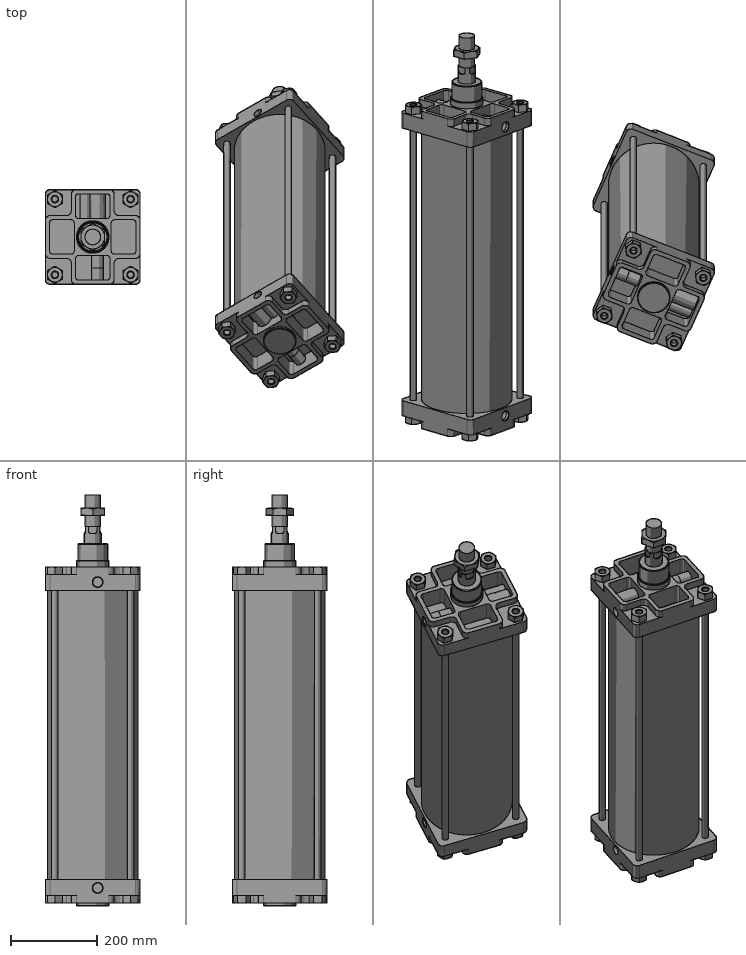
import cadquery as cq
import math

total_height = 953.0
boss_height = 7.0
cover_height = 55.0
top_cover_top = 786.0
corner_recess_depth = 18.0
bottom_cover_bottom = boss_height
bottom_cover_top = bottom_cover_bottom + cover_height
top_cover_bottom = top_cover_top - cover_height

quarter_turns = (0, 90, 180, 270)
hexagon_half_sector = 30
nut_chamfer_angle = 30

cover_side = 220.0
cover_half = cover_side / 2
cover_corner_radius = 11.0
rib_half_width = 50.0
pocket_half_width = 40.0
pocket_inner = 43.0
pocket_outer = 100.0
pocket_depth = 50.0
pocket_corner_radius = 8.0

port_x = 11.0
port_drop = 35.0
port_diameter = 23.0
port_mouth_diameter = 25.0
port_depth = 38.0
front_boss_diameter = 28.0
rear_boss_diameter = 36.0
cushion_boss_diameter = 28.0
cushion_boss_x = -16.0
cushion_boss_drop = 41.0
cushion_bore_diameter = 21.0
cushion_bore_depth = 15.0

barrel_diameter = 211.0
tie_rod_diameter = 15.0
tie_rod_offset = 88.0
tie_rod_places = [(sx * tie_rod_offset, sy * tie_rod_offset) for sx in (-1, 1) for sy in (-1, 1)]
tie_nut_flats = 34.0
tie_nut_bore = 14.0
tie_nut_mouth = 17.0

guide_diameter = 75.0
guide_top = 801.0
guide_chamfer = 1.4
collar_diameter = 70.0
collar_top = 841.0
collar_chamfer = 2.0

rod_diameter = 40.0
thread_diameter = 36.0
rod_shoulder = 880.0
wrench_flats = 34.0
wrench_flat_bottom = 863.0
wrench_flat_end_radius = 8.0

rod_nut_flats = 55.0
rod_nut_bottom = 905.0
rod_nut_height = 17.0


def disc(diameter, bottom, top):
    """Vertical cylinder on the main axis."""
    return cq.Workplane("XY").workplane(offset=bottom).circle(diameter / 2).extrude(top - bottom)


def hexagon_prism(across_flats, height):
    """Hexagon with flats facing +X and -X, corners turned down to a cone at its top."""
    corner_radius = across_flats / math.sqrt(3)
    prism = cq.Workplane("XY").polygon(6, 2 * corner_radius).extrude(height)
    prism = prism.rotate((0, 0, 0), (0, 0, 1), hexagon_half_sector)
    turned_width = corner_radius - across_flats / 2
    turned_height = turned_width * math.tan(math.radians(nut_chamfer_angle))
    turned = cq.Workplane("XY").circle(corner_radius).extrude(height)
    turned = turned.faces(">Z").chamfer(turned_height, turned_width)
    return prism.intersect(turned)


def pocket(angle):
    """Rounded pocket cutter on one arm of the cross, arm direction given in degrees from +X."""
    return (
        cq.Workplane("XY")
        .workplane(offset=cover_height - pocket_depth)
        .center((pocket_inner + pocket_outer) / 2, 0)
        .rect(pocket_outer - pocket_inner, 2 * pocket_half_width)
        .extrude(pocket_depth)
        .edges("|Z")
        .fillet(pocket_corner_radius)
        .rotate((0, 0, 0), (0, 0, 1), angle)
    )


def pocket_boss(diameter, x, drop, side):
    """Horizontal boss crossing the +Y (side 1) or -Y (side -1) pocket."""
    length = pocket_outer - pocket_inner
    start = pocket_inner if side > 0 else -pocket_outer
    return (
        cq.Workplane("XZ", origin=(x, start, cover_height - drop))
        .circle(diameter / 2)
        .extrude(-length)
    )


def tie_nut():
    """Corner nut with a countersunk blind bore."""
    countersink = (tie_nut_mouth - tie_nut_bore) / 2
    bore = cq.Workplane("XY").circle(tie_nut_bore / 2).extrude(corner_recess_depth)
    mouth = (
        cq.Workplane("XY")
        .workplane(offset=corner_recess_depth - countersink)
        .circle(tie_nut_bore / 2)
        .workplane(offset=countersink)
        .circle(tie_nut_mouth / 2)
        .loft()
    )
    return hexagon_prism(tie_nut_flats, corner_recess_depth).cut(bore).cut(mouth)


def port():
    """Port bore in the -Y side, with a conical mouth."""
    mouth_depth = (port_mouth_diameter - port_diameter) / 2
    profile = [
        (0, 0),
        (port_mouth_diameter / 2, 0),
        (port_diameter / 2, mouth_depth),
        (port_diameter / 2, port_depth),
        (0, port_depth),
    ]
    bore = cq.Workplane("XY").polyline(profile).close().revolve(360, (0, 0, 0), (0, 1, 0))
    return bore.translate((port_x, -cover_half, cover_height - port_drop))


def cushion_bore():
    """Plain blind bore for the cushion screw in the +Y side."""
    return (
        cq.Workplane("XZ", origin=(cushion_boss_x, cover_half, cover_height - cushion_boss_drop))
        .circle(cushion_bore_diameter / 2)
        .extrude(cushion_bore_depth)
    )


def cover():
    """End cover standing on Z = 0 with its outer face, cross and nuts upward."""
    block = cq.Workplane("XY").rect(cover_side, cover_side).extrude(cover_height)
    block = block.edges("|Z").fillet(cover_corner_radius)

    seat_floor = cover_height - corner_recess_depth
    cross = (
        cq.Workplane("XY")
        .rect(cover_side, 2 * rib_half_width)
        .extrude(cover_height)
        .union(cq.Workplane("XY").rect(2 * rib_half_width, cover_side).extrude(cover_height))
        .edges("|Z")
        .fillet(cover_corner_radius)
    )
    base = block.intersect(cq.Workplane("XY").rect(cover_side, cover_side).extrude(seat_floor))
    body = base.union(cross)

    for angle in quarter_turns:
        body = body.cut(pocket(angle))
    body = body.union(pocket_boss(front_boss_diameter, port_x, port_drop, -1))
    body = body.union(pocket_boss(rear_boss_diameter, port_x, port_drop, 1))
    body = body.union(pocket_boss(cushion_boss_diameter, cushion_boss_x, cushion_boss_drop, 1))
    body = body.cut(port()).cut(cushion_bore())

    for x, y in tie_rod_places:
        body = body.union(tie_nut().translate((x, y, seat_floor)))
    return body


def make_cylinder_body():
    """Barrel, both covers, tie rods, rod guide and centring boss as one solid."""
    body = disc(barrel_diameter, bottom_cover_top, top_cover_bottom)
    body = body.union(cover().translate((0, 0, top_cover_bottom)))
    body = body.union(cover().mirror("XY").translate((0, 0, bottom_cover_top)))

    for x, y in tie_rod_places:
        body = body.union(disc(tie_rod_diameter, bottom_cover_top, top_cover_bottom).translate((x, y, 0)))

    guide = disc(guide_diameter, top_cover_top, guide_top).faces(">Z").chamfer(guide_chamfer)
    collar = disc(collar_diameter, guide_top, collar_top).faces(">Z").chamfer(collar_chamfer)
    centring_boss = disc(guide_diameter, 0, boss_height).faces("<Z").chamfer(guide_chamfer)
    body = body.union(guide).union(collar).union(centring_boss)

    return body.cut(disc(rod_diameter, top_cover_bottom, collar_top))


def make_piston_rod():
    """Rod from the top cover's inner face to the threaded tip, with four wrench flats."""
    rod = disc(rod_diameter, top_cover_bottom, rod_shoulder)
    rod = rod.union(disc(thread_diameter, rod_shoulder, total_height))

    flat_width = math.sqrt(rod_diameter**2 - wrench_flats**2)
    flat_height = rod_shoulder - wrench_flat_bottom
    cut_depth = (rod_diameter - wrench_flats) / 2
    flat = (
        cq.Workplane("XY", origin=(0, -(wrench_flats + cut_depth) / 2, wrench_flat_bottom))
        .box(flat_width, cut_depth, flat_height, centered=(True, True, False))
        .edges("|Y and <Z")
        .fillet(wrench_flat_end_radius)
    )
    for angle in quarter_turns:
        rod = rod.cut(flat.rotate((0, 0, 0), (0, 0, 1), angle))
    return rod


def make_rod_nut():
    """Lock nut on the rod thread."""
    nut = hexagon_prism(rod_nut_flats, rod_nut_height).translate((0, 0, rod_nut_bottom))
    return nut.cut(disc(thread_diameter, rod_nut_bottom, rod_nut_bottom + rod_nut_height))


cylinder_body = make_cylinder_body()
piston_rod = make_piston_rod()
rod_nut = make_rod_nut()
result = cq.Compound.makeCompound([cylinder_body.val(), piston_rod.val(), rod_nut.val()])